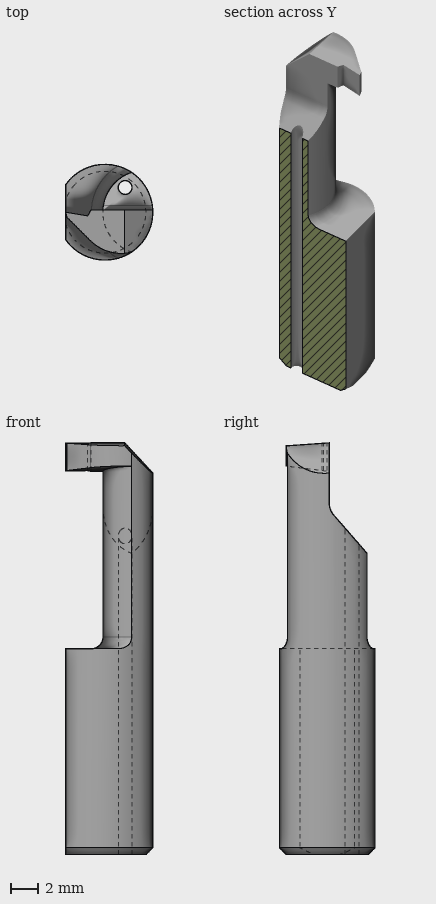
import cadquery as cq
import math

total_length = 30.0
shank_diameter = 7.0
shank_radius = shank_diameter / 2
shank_length = 15.0
shank_chamfer = 0.5
width_over_flat = 6.35
flat_x = shank_radius - width_over_flat

neck_radius = 3.05
neck_center_x = 2.9
neck_fillet = 0.85

coolant_hole_diameter = 1.0
coolant_hole_x = 1.47
coolant_hole_y = 1.8

face_y = 0.15
gash_corner_z = 25.1
gash_angle = 41.0
gash_fillet = 1.35

tip_height = 2.07
tip_land = 0.4
tip_land_setback = 0.12
rake_corner_x = -1.25
rake_corner_y = -0.27
rake_step_x = -1.02
flank_arc_radius = 3.15
head_front_y = -3.0
top_relief_angle = 4.0
bottom_relief_angle = 7.0
bevel_start_x = 1.45
bevel_angle = 47.0

clearance = 9.0


def make_shank():
    shank = cq.Workplane("XY").circle(shank_radius).extrude(shank_length)
    return shank.faces("<Z").chamfer(shank_chamfer)


def make_neck():
    """Revolve the neck with its concave foot about the neck axis."""
    foot_radius = neck_radius + neck_fillet
    foot_top = shank_length + neck_fillet
    arc_reach = neck_fillet * (1 - math.sqrt(0.5))
    neck = (
        cq.Workplane("XZ")
        .moveTo(0, shank_length)
        .lineTo(foot_radius, shank_length)
        .threePointArc((neck_radius + arc_reach, shank_length + arc_reach), (neck_radius, foot_top))
        .lineTo(neck_radius, total_length)
        .lineTo(0, total_length)
        .close()
        .revolve(360, (0, 0, 0), (0, 1, 0))
        .translate((neck_center_x, 0, 0))
    )
    return neck


def make_head():
    """Extrude the hooked head outline, then relieve its underside."""
    diagonal = math.sqrt(0.5)
    arc_rise = flank_arc_radius * (1 - diagonal)
    flank_start_x = flat_x + tip_land_setback
    flank_end_y = head_front_y + arc_rise
    flank_end_x = flank_start_x - tip_land - flank_end_y
    arc_center_x = flank_end_x + flank_arc_radius * diagonal
    arc_low = (arc_center_x, head_front_y)
    end_angle = math.radians(22.5)
    arc_end_x = arc_center_x + flank_arc_radius * math.sin(end_angle)
    arc_end_y = head_front_y + flank_arc_radius * (1 - math.cos(end_angle))
    head_base = total_length - 2 * tip_height
    head = (
        cq.Workplane("XY", origin=(0, 0, head_base))
        .moveTo(flat_x, 0)
        .lineTo(flank_start_x, -tip_land)
        .lineTo(flank_end_x, flank_end_y)
        .threePointArc(arc_low, (arc_end_x, arc_end_y))
        .lineTo(shank_radius, arc_end_y)
        .lineTo(shank_radius, face_y)
        .lineTo(rake_step_x, face_y)
        .lineTo(rake_corner_x, rake_corner_y)
        .close()
        .extrude(2 * tip_height)
    )
    underside = (
        cq.Workplane("XY")
        .box(2 * clearance, 2 * clearance, clearance, centered=(True, True, False))
        .translate((0, 0, -clearance))
        .rotate((0, 0, 0), (1, 0, 0), -bottom_relief_angle)
        .translate((0, 0, total_length - tip_height))
    )
    return head.cut(underside)


def make_gash():
    """Material removed behind the cutting face, ending in a sloped run-out."""
    slope_z = gash_corner_z - clearance / math.tan(math.radians(gash_angle))
    top_z = total_length + clearance
    gash = (
        cq.Workplane("YZ", origin=(-clearance, 0, 0))
        .moveTo(face_y, top_z)
        .lineTo(face_y, gash_corner_z)
        .lineTo(face_y + clearance, slope_z)
        .lineTo(face_y + clearance, top_z)
        .close()
        .extrude(2 * clearance)
    )
    corner = cq.selectors.NearestToPointSelector((0, face_y, gash_corner_z))
    return gash.edges("|X").edges(corner).fillet(gash_fillet)


def make_top_relief():
    """Material above the end face and its bevel, tilted down away from the cutting face."""
    bevel_drop = clearance * math.tan(math.radians(bevel_angle))
    relief = (
        cq.Workplane("XZ", origin=(0, clearance, 0))
        .moveTo(-clearance, 0)
        .lineTo(bevel_start_x, 0)
        .lineTo(bevel_start_x + clearance, -bevel_drop)
        .lineTo(bevel_start_x + clearance, clearance)
        .lineTo(-clearance, clearance)
        .close()
        .extrude(2 * clearance)
    )
    relief = relief.rotate((0, 0, 0), (1, 0, 0), top_relief_angle)
    return relief.translate((0, face_y, total_length))


envelope = (
    cq.Workplane("XY")
    .circle(shank_radius)
    .extrude(total_length)
    .intersect(
        cq.Workplane("XY")
        .box(width_over_flat, shank_diameter, total_length, centered=(False, True, False))
        .translate((flat_x, 0, 0))
    )
)
coolant_hole = (
    cq.Workplane("XY")
    .center(coolant_hole_x, coolant_hole_y)
    .circle(coolant_hole_diameter / 2)
    .extrude(total_length)
)

result = (
    make_neck()
    .cut(make_gash())
    .union(make_head())
    .cut(make_top_relief())
    .union(make_shank())
    .intersect(envelope)
    .cut(coolant_hole)
)